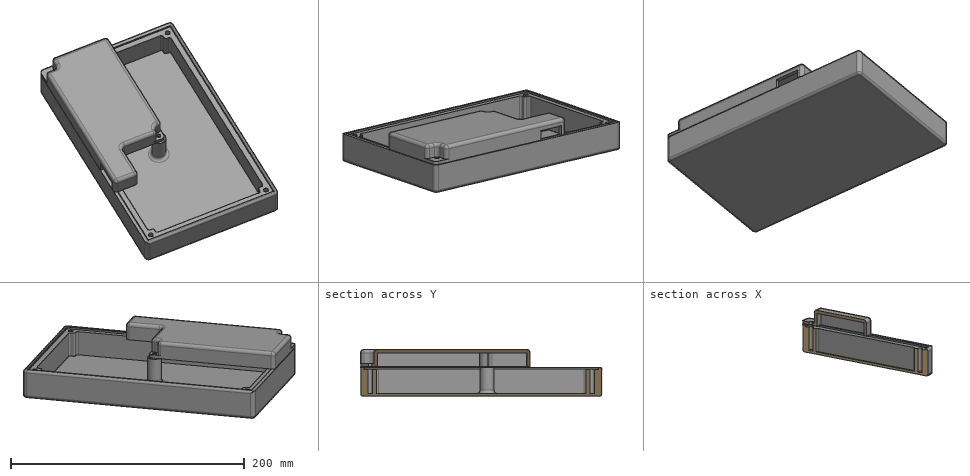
import cadquery as cq
import math

LENGTH = 206.5
WIDTH = 126.3
TOTAL_HEIGHT = 40.0
TRAY_HEIGHT = 24.8
LID_GAP = 0.5

TRAY_CORNER_RADIUS = 3.5
TRAY_EDGE_RADIUS = 2.0
FLOOR_THICKNESS = 2.5
RIM_WIDTH = 3.3
LEDGE_DROP = 1.5
WALL_THICKNESS = 8.3
BOSS_SIZE = 13.5
BOSS_FILLET = 1.9
INSERT_DIAMETER = 4.0
POST_DIAMETER = 12.0
POST_FILLET = 2.9

LID_LENGTH = 145.0
LID_WIDTH = 64.5
LID_WIDE_LENGTH = 112.3
LID_NARROW_WIDTH = 22.5
LID_WALL = 3.0
LID_EDGE_RADIUS = 3.0
FLANGE_THICKNESS = 2.9
SCREW_DIAMETER = 3.3
NOTCH_RADIUS = 3.3
POST_SCREW_INSET = 4.1
SLOT_START = 117.5
SLOT_END = 140.0
SLOT_TOP = 33.6

LEDGE_HEIGHT = TRAY_HEIGHT - LEDGE_DROP
CORNER_SCREW = (WALL_THICKNESS, WALL_THICKNESS)
POST_SCREW = (LID_WIDE_LENGTH - POST_SCREW_INSET, LID_WIDTH - POST_SCREW_INSET)
BOSS_SCREWS = [
    (x, y)
    for x in (WALL_THICKNESS, LENGTH - WALL_THICKNESS)
    for y in (WALL_THICKNESS, WIDTH - WALL_THICKNESS)
]
BOSS_CORNERS = [
    (x, y)
    for x in (BOSS_SIZE, LENGTH - BOSS_SIZE)
    for y in (BOSS_SIZE, WIDTH - BOSS_SIZE)
]
LID_BOTTOM = TRAY_HEIGHT + LID_GAP
FLANGE_TOP = LID_BOTTOM + FLANGE_THICKNESS

SHARED_CORNERS = [
    (LID_LENGTH, 0),
    (LID_LENGTH, LID_NARROW_WIDTH),
    (LID_WIDE_LENGTH, LID_NARROW_WIDTH),
    (0, LID_WIDTH),
]
NOTCH_CORNERS = [
    (0, CORNER_SCREW[1] + NOTCH_RADIUS),
    (CORNER_SCREW[0] + NOTCH_RADIUS, 0),
    (LID_WIDE_LENGTH, POST_SCREW[1] - NOTCH_RADIUS),
    (POST_SCREW[0] - NOTCH_RADIUS, LID_WIDTH),
]


def corner_block(size_x, size_y, bottom, top):
    """Box with one corner on the Z axis, reaching towards +X and +Y."""
    block = cq.Workplane("XY").box(size_x, size_y, top - bottom, centered=False)
    return block.translate((0, 0, bottom))


def cylinders(places, diameter, bottom, top):
    plane = cq.Workplane("XY").workplane(offset=bottom)
    return plane.pushPoints(places).circle(diameter / 2).extrude(top - bottom)


def fillet_uprights(body, places, radius):
    """Round the vertical edges that stand at the given XY places."""
    for x, y in places:
        nearest = cq.selectors.NearestToPointSelector((x, y, body.val().Center().z))
        body = body.edges("|Z").edges(nearest).fillet(radius)
    return body


def tray_outside():
    """Block rounded at its corners and bottom, with only the +X and +Y rim edges rounded."""
    body = corner_block(LENGTH, WIDTH, 0, TRAY_HEIGHT)
    rounded = body.edges("|Z").fillet(TRAY_CORNER_RADIUS)
    rounded = rounded.faces("<Z").edges().fillet(TRAY_EDGE_RADIUS)
    rimmed = body.edges("|Z and >X and >Y").fillet(TRAY_CORNER_RADIUS)
    rimmed = rimmed.faces(">X or >Y").edges(">Z").fillet(TRAY_EDGE_RADIUS)
    return rounded.intersect(rimmed)


def tray_cavity():
    height = TRAY_HEIGHT - FLOOR_THICKNESS
    plane = cq.Workplane("XY").workplane(offset=FLOOR_THICKNESS).center(LENGTH / 2, WIDTH / 2)
    along_x = plane.rect(LENGTH - 2 * BOSS_SIZE, WIDTH - 2 * WALL_THICKNESS).extrude(height)
    along_y = plane.rect(LENGTH - 2 * WALL_THICKNESS, WIDTH - 2 * BOSS_SIZE).extrude(height)
    along_x = along_x.edges("|Z").fillet(BOSS_FILLET)
    along_y = along_y.edges("|Z").fillet(BOSS_FILLET)
    cavity = along_x.union(along_y)
    return fillet_uprights(cavity, BOSS_CORNERS, BOSS_FILLET)


def tray_ledge():
    ledge = corner_block(LENGTH - 2 * RIM_WIDTH, WIDTH - 2 * RIM_WIDTH, LEDGE_HEIGHT, TRAY_HEIGHT)
    return ledge.translate((RIM_WIDTH, RIM_WIDTH, 0))


def build_tray():
    post = cylinders([POST_SCREW], POST_DIAMETER, FLOOR_THICKNESS, TRAY_HEIGHT)
    tray = tray_outside().cut(tray_cavity()).cut(tray_ledge()).union(post)
    foot_point = (POST_SCREW[0] + POST_DIAMETER / 2, POST_SCREW[1], FLOOR_THICKNESS)
    foot = cq.selectors.NearestToPointSelector(foot_point)
    tray = tray.edges("%CIRCLE").edges(foot).fillet(POST_FILLET)
    holes = cylinders(BOSS_SCREWS + [POST_SCREW], INSERT_DIAMETER, FLOOR_THICKNESS, TRAY_HEIGHT)
    return tray.cut(holes)


def notched_outline(plane):
    """Stepped lid outline with a round-bottomed notch at each of the two screws."""
    (corner_x, corner_y), (post_x, post_y) = CORNER_SCREW, POST_SCREW
    diagonal = NOTCH_RADIUS * math.sqrt(0.5)
    return (
        plane.moveTo(0, corner_y + NOTCH_RADIUS)
        .lineTo(corner_x, corner_y + NOTCH_RADIUS)
        .threePointArc((corner_x + diagonal, corner_y + diagonal), (corner_x + NOTCH_RADIUS, corner_y))
        .lineTo(corner_x + NOTCH_RADIUS, 0)
        .lineTo(LID_LENGTH, 0)
        .lineTo(LID_LENGTH, LID_NARROW_WIDTH)
        .lineTo(LID_WIDE_LENGTH, LID_NARROW_WIDTH)
        .lineTo(LID_WIDE_LENGTH, post_y - NOTCH_RADIUS)
        .lineTo(post_x, post_y - NOTCH_RADIUS)
        .threePointArc((post_x - diagonal, post_y - diagonal), (post_x - NOTCH_RADIUS, post_y))
        .lineTo(post_x - NOTCH_RADIUS, LID_WIDTH)
        .lineTo(0, LID_WIDTH)
        .close()
    )


def lid_flange():
    wide = corner_block(LID_WIDE_LENGTH, LID_WIDTH, LID_BOTTOM, FLANGE_TOP)
    narrow = corner_block(LID_LENGTH, LID_NARROW_WIDTH, LID_BOTTOM, FLANGE_TOP)
    flange = fillet_uprights(wide.union(narrow), SHARED_CORNERS, LID_EDGE_RADIUS)
    flange = fillet_uprights(flange, [(LID_WIDE_LENGTH, LID_WIDTH)], LID_EDGE_RADIUS)
    return fillet_uprights(flange, [(0, 0)], TRAY_CORNER_RADIUS)


def lid_cover():
    plane = cq.Workplane("XY").workplane(offset=FLANGE_TOP)
    cover = notched_outline(plane).extrude(TOTAL_HEIGHT - FLANGE_TOP)
    cover = fillet_uprights(cover, SHARED_CORNERS + NOTCH_CORNERS, LID_EDGE_RADIUS)
    return cover.faces(">Z").edges().fillet(LID_EDGE_RADIUS)


def lid_hollow():
    plane = cq.Workplane("XY").workplane(offset=LID_BOTTOM)
    depth = TOTAL_HEIGHT - LID_WALL - LID_BOTTOM
    return notched_outline(plane).offset2D(-LID_WALL).extrude(depth)


def build_lid():
    slot = corner_block(SLOT_END - SLOT_START, 2 * LID_WALL, LID_BOTTOM, SLOT_TOP)
    slot = slot.translate((SLOT_START, 0, 0))
    screw_holes = cylinders([CORNER_SCREW, POST_SCREW], SCREW_DIAMETER, LID_BOTTOM, FLANGE_TOP)
    return lid_flange().union(lid_cover()).cut(lid_hollow()).cut(slot).cut(screw_holes)


tray = build_tray()
lid = build_lid()
result = cq.Compound.makeCompound([tray.solids().val(), lid.solids().val()])